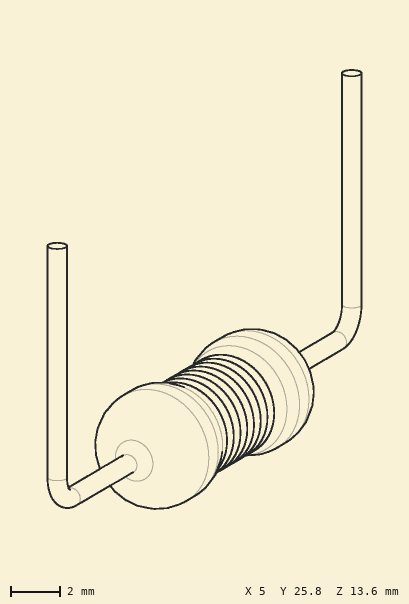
import cadquery as cq
import math


lead_diameter = 0.8
lead_spacing = 25.0
lead_height = 11.1
bend_radius = 1.2

cap_diameter = 5.0
neck_diameter = 4.25
neck_length = 4.0
body_length = 12.0
dome_radius = 1.75
cap_land_length = 0.8
root_fillet_radius = 0.5

band_diameter = 4.27
band_count = 4

lead_radius = lead_diameter / 2
cap_radius = cap_diameter / 2
neck_radius = neck_diameter / 2
body_end = body_length / 2
lead_end = lead_spacing / 2
neck_end = neck_length / 2


def arc_point(center, radius, angle):
    """Point at an angle in degrees from the +X direction on a circle."""
    turn = math.radians(angle)
    return (center[0] + radius * math.cos(turn), center[1] + radius * math.sin(turn))


def make_cap():
    """Revolve the +Y cap, from the neck out to the lead; profile points are (radius, y)."""
    land_outer = body_end - dome_radius
    land_inner = land_outer - cap_land_length

    rise = cap_radius - neck_radius
    run = land_inner - neck_end
    shoulder_radius = (run**2 + rise**2) / (4 * rise)
    shoulder_angle = math.degrees(math.asin(run / 2 / shoulder_radius))
    hollow_center = (neck_radius + shoulder_radius, neck_end)
    crown_center = (cap_radius - shoulder_radius, land_inner)

    dome_center = (cap_radius - dome_radius, land_outer)
    fillet_x = lead_radius + root_fillet_radius
    center_distance = dome_radius + root_fillet_radius
    touch_angle = math.degrees(math.acos((fillet_x - dome_center[0]) / center_distance))
    fillet_center = arc_point(dome_center, center_distance, touch_angle)
    fillet_start_angle = 180 + touch_angle
    fillet_middle_angle = (fillet_start_angle + 180) / 2

    profile = (
        cq.Workplane("XY")
        .moveTo(0, neck_end)
        .lineTo(neck_radius, neck_end)
        .threePointArc(
            arc_point(hollow_center, shoulder_radius, 180 - shoulder_angle / 2),
            arc_point(hollow_center, shoulder_radius, 180 - shoulder_angle),
        )
        .threePointArc(
            arc_point(crown_center, shoulder_radius, -shoulder_angle / 2),
            (cap_radius, land_inner),
        )
        .lineTo(cap_radius, land_outer)
        .threePointArc(
            arc_point(dome_center, dome_radius, touch_angle / 2),
            arc_point(dome_center, dome_radius, touch_angle),
        )
        .threePointArc(
            arc_point(fillet_center, root_fillet_radius, fillet_middle_angle),
            (lead_radius, fillet_center[1]),
        )
        .lineTo(0, fillet_center[1])
        .close()
    )
    return profile.revolve(360, (0, 0, 0), (0, 1, 0))


def make_disc(diameter, width, middle_y):
    """Cylinder on the body axis, centred at middle_y."""
    return (
        cq.Workplane("XZ", origin=(0, middle_y + width / 2, 0))
        .circle(diameter / 2)
        .extrude(width)
    )


def make_lead():
    """Bent +Y lead, starting inside the body."""
    bend_start = lead_end - bend_radius
    bend_center = (bend_start, bend_radius)
    path = (
        cq.Workplane("YZ")
        .moveTo(body_end / 2, 0)
        .lineTo(bend_start, 0)
        .threePointArc(arc_point(bend_center, bend_radius, -45), (lead_end, bend_radius))
        .lineTo(lead_end, lead_height)
    )
    section = cq.Workplane("XZ", origin=(0, body_end / 2, 0)).circle(lead_radius)
    return section.sweep(path)


capped_lead = make_cap().union(make_lead())
neck = make_disc(neck_diameter, neck_length, 0)
result = neck.union(capped_lead).union(capped_lead.mirror("XZ"))

band_width = neck_length / (2 * band_count - 1)
for index in range(band_count):
    band_y = 2 * band_width * (index - (band_count - 1) / 2)
    result = result.union(make_disc(band_diameter, band_width, band_y))